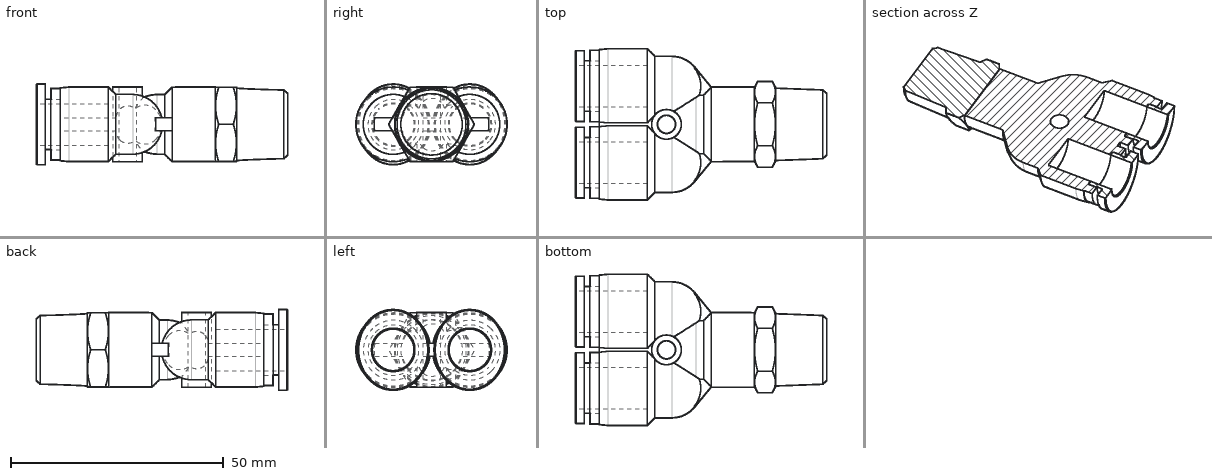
import cadquery as cq
import math


branch_offset = 9.0
barrel_radius = 17.6 / 2
neck_radius = 14.1 / 2
shoulder_length = barrel_radius - neck_radius

nose_start = 3.5
nose_radius = 16.9 / 2
barrel_start = 5.7
barrel_start_radius = 8.6
taper_end = 7.7
branch_shoulder = 17.0
branch_dome = 22.7

trunk_dome = 28.35
trunk_barrel = 31.95
trunk_end = 42.15

post_x = 21.5
post_diameter = 7.0
post_hole_diameter = 4.2
post_height = 2 * barrel_radius
web_thickness = 3.1

flange_width = 16.7
flange_height = 19.0
flange_thickness = 2.2
flange_chamfer = 0.25
sleeve_diameter = 11.9
bore_diameter = 9.75
bore_chamfer = 0.25
sleeve_end = 5.7
tube_stop = branch_shoulder

hex_across_flats = 17.45
hex_end = 47.1
hex_chamfer_length = 0.75
hex_face_radius = 8.7
thread_start_radius = 8.5
thread_end_radius = 8.1
thread_chamfer_start = 58.2
thread_tip_radius = 7.2
overall_length = 59.2


def revolve_about_x(profile):
    """Revolve a closed XY profile a full turn about the X axis."""
    return profile.close().revolve(360, (0, 0, 0), (1, 0, 0))


def make_branch(y):
    """Stepped barrel with a domed inner end."""
    neck_start = branch_shoulder + shoulder_length
    dome_mid = neck_radius * math.sqrt(0.5)
    profile = (
        cq.Workplane("XY")
        .moveTo(nose_start, 0)
        .lineTo(nose_start, nose_radius)
        .lineTo(barrel_start, nose_radius)
        .lineTo(barrel_start, barrel_start_radius)
        .lineTo(taper_end, barrel_radius)
        .lineTo(branch_shoulder, barrel_radius)
        .lineTo(neck_start, neck_radius)
        .lineTo(branch_dome, neck_radius)
        .threePointArc((branch_dome + dome_mid, dome_mid), (branch_dome + neck_radius, 0))
    )
    return revolve_about_x(profile).translate((0, y, 0))


def make_trunk():
    """Single barrel on the X axis, domed towards the branches."""
    dome_mid = neck_radius * math.sqrt(0.5)
    profile = (
        cq.Workplane("XY")
        .moveTo(trunk_dome - neck_radius, 0)
        .threePointArc((trunk_dome - dome_mid, dome_mid), (trunk_dome, neck_radius))
        .lineTo(trunk_barrel - shoulder_length, neck_radius)
        .lineTo(trunk_barrel, barrel_radius)
        .lineTo(trunk_end, barrel_radius)
        .lineTo(trunk_end, 0)
    )
    return revolve_about_x(profile)


def make_center_web():
    """Flat web that bridges the gap between the two branches."""
    return cq.Workplane("XY").box(
        trunk_dome - barrel_start, 2 * branch_offset - barrel_radius, web_thickness,
        centered=(False, True, True),
    ).translate((barrel_start, 0, 0))


def make_side_web(side):
    """Flat web from the trunk barrel corner, tangent to the dome of one branch."""
    run = trunk_barrel - branch_dome
    rise = barrel_radius - branch_offset
    tangent_angle = math.atan2(rise, run) + math.acos(neck_radius / math.hypot(run, rise))
    tangent_x = branch_dome + neck_radius * math.cos(tangent_angle)
    tangent_y = branch_offset + neck_radius * math.sin(tangent_angle)
    return (
        cq.Workplane("XY")
        .moveTo(branch_dome, side * branch_offset)
        .lineTo(tangent_x, side * tangent_y)
        .lineTo(trunk_barrel, side * barrel_radius)
        .lineTo(trunk_barrel, 0)
        .lineTo(trunk_dome, 0)
        .close()
        .extrude(web_thickness / 2, both=True)
    )


def make_post_cylinder(diameter):
    """Vertical cylinder at the mounting post, centred on Z = 0."""
    return (
        cq.Workplane("XY")
        .center(post_x, 0)
        .circle(diameter / 2)
        .extrude(post_height / 2, both=True)
    )


def make_socket(y):
    """Volume of the sleeve recess and of the blind tube bore behind it."""
    recess = (
        cq.Workplane("YZ", origin=(nose_start, y, 0))
        .circle(sleeve_diameter / 2)
        .extrude(sleeve_end - nose_start)
    )
    tube_bore = (
        cq.Workplane("YZ", origin=(sleeve_end, y, 0))
        .circle(bore_diameter / 2)
        .extrude(tube_stop - sleeve_end)
    )
    return recess.union(tube_bore)


def make_housing():
    """Y body with a socket in each branch."""
    body = make_trunk().union(make_center_web()).union(make_post_cylinder(post_diameter))
    for side in (-1, 1):
        body = body.union(make_branch(side * branch_offset)).union(make_side_web(side))
    for side in (-1, 1):
        body = body.cut(make_socket(side * branch_offset))
    return body.cut(make_post_cylinder(post_hole_diameter))


def make_collar(y):
    """Release collar: oval flange on a round sleeve, bored through."""
    flange = (
        cq.Workplane("YZ")
        .ellipse(flange_width / 2, flange_height / 2)
        .extrude(flange_thickness)
        .faces("<X")
        .chamfer(flange_chamfer)
    )
    sleeve = (
        cq.Workplane("YZ", origin=(flange_thickness, 0, 0))
        .circle(sleeve_diameter / 2)
        .extrude(sleeve_end - flange_thickness)
    )
    bore = cq.Workplane("YZ").circle(bore_diameter / 2).extrude(sleeve_end)
    collar = flange.union(sleeve).cut(bore)
    collar = collar.faces("<X").edges("%CIRCLE").chamfer(bore_chamfer)
    return collar.translate((0, y, 0))


def make_stud():
    """Hexagon with turned corners, followed by a tapered thread blank."""
    corner_radius = hex_across_flats / math.sqrt(3)
    hexagon = (
        cq.Workplane("YZ", origin=(trunk_end, 0, 0))
        .polygon(6, 2 * corner_radius)
        .extrude(hex_end - trunk_end)
    )
    turned_envelope = revolve_about_x(
        cq.Workplane("XY")
        .moveTo(trunk_end, 0)
        .lineTo(trunk_end, hex_face_radius)
        .lineTo(trunk_end + hex_chamfer_length, corner_radius)
        .lineTo(hex_end - hex_chamfer_length, corner_radius)
        .lineTo(hex_end, hex_face_radius)
        .lineTo(hex_end, 0)
    )
    thread = revolve_about_x(
        cq.Workplane("XY")
        .moveTo(hex_end, 0)
        .lineTo(hex_end, thread_start_radius)
        .lineTo(thread_chamfer_start, thread_end_radius)
        .lineTo(overall_length, thread_tip_radius)
        .lineTo(overall_length, 0)
    )
    return hexagon.intersect(turned_envelope).union(thread)


housing = make_housing()
stud = make_stud()
collars = [make_collar(side * branch_offset) for side in (-1, 1)]

result = cq.Compound.makeCompound([housing.val(), stud.val(), *[collar.val() for collar in collars]])